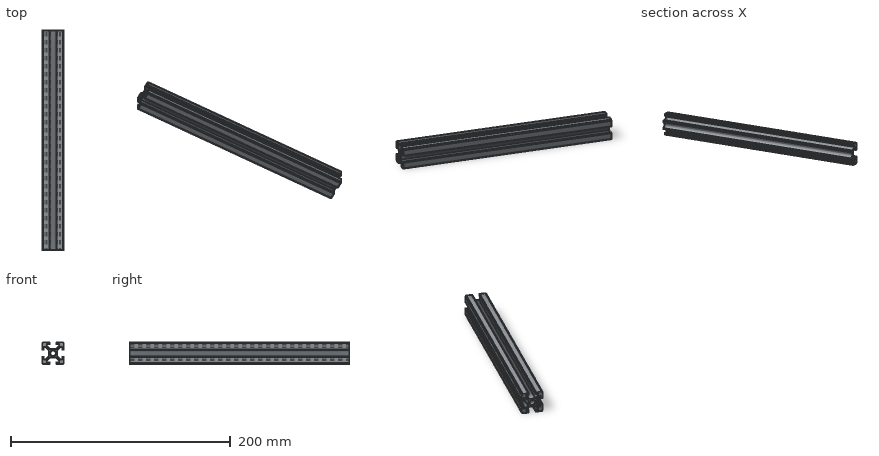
import cadquery as cq
import math

length = 200.0
width = 20.0
corner_chamfer = 1.1

slot_opening = 6.2
mouth_chamfer = 0.5
slot_inner_width = 11.0
lip_thickness = 1.8

core_width = 8.0
bore_diameter = 5.0
web_thickness = 1.55

half_width = width / 2
half_opening = slot_opening / 2
half_inner = slot_inner_width / 2
half_core = core_width / 2
lip_inner = half_width - lip_thickness
web_offset = web_thickness / math.sqrt(2)


def bar_blank():
    """Solid square bar with chamfered long edges."""
    bar = cq.Workplane("XY").box(width, length, width)
    return bar.edges("|Y").chamfer(corner_chamfer)


def top_slot():
    """Void of the slot in the +Z side, running the full length."""
    right_side = [
        (half_opening + mouth_chamfer, half_width),
        (half_opening, half_width - mouth_chamfer),
        (half_opening, lip_inner),
        (half_inner, lip_inner),
        (half_inner, half_inner + web_offset),
        (half_core - web_offset, half_core),
    ]
    left_side = [(-x, z) for x, z in reversed(right_side)]
    profile = cq.Workplane("XZ").polyline(right_side + left_side).close()
    return profile.extrude(length / 2, both=True)


def center_bore():
    """Round hole through the whole core."""
    return cq.Workplane("XZ").circle(bore_diameter / 2).extrude(length / 2, both=True)


result = bar_blank().cut(center_bore())
for side_angle in (0, 90, 180, 270):
    result = result.cut(top_slot().rotate((0, 0, 0), (0, 1, 0), side_angle))